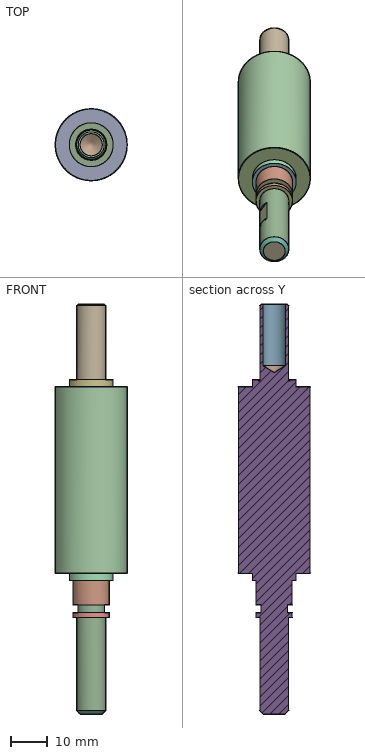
import cadquery as cq
import math

total_length = 112.2
shaft_radius = 8.0 / 2
bottom_chamfer = 1.0
top_chamfer = 0.5

body_radius = 19.7 / 2
body_bottom = 38.5
body_top = 89.6
body_edge_chamfer = 0.1
collar_radius = 12.0 / 2
collar_height = 1.9
collar_bore_radius = 8.5 / 2
collar_recess_depth = 0.3

sleeve_radius = 10.0 / 2
sleeve_bottom = 30.0
groove_radius = 7.3 / 2
flange_top = 27.8
flange_bottom = 26.5

hole_radius = 6.1 / 2
hole_depth = 16.8
drill_point_angle = 118.0

flat_bottom = 11.8
flat_length = 8.3
flat_depth = 0.39


def cylinder(radius, bottom, top):
    return cq.Workplane("XY").workplane(offset=bottom).circle(radius).extrude(top - bottom)


def make_shaft():
    shaft = cylinder(shaft_radius, 0, total_length)
    shaft = shaft.faces("<Z").chamfer(bottom_chamfer)
    shaft = shaft.faces(">Z").chamfer(top_chamfer)
    groove = cylinder(shaft_radius, sleeve_bottom, flange_top).cut(
        cylinder(groove_radius, sleeve_bottom, flange_top)
    )
    return shaft.cut(groove)


def make_roller():
    body = cylinder(body_radius, body_bottom, body_top).edges().chamfer(body_edge_chamfer)
    collar_top = body_top + collar_height
    collars = cylinder(collar_radius, body_bottom - collar_height, collar_top)
    recess = cylinder(collar_bore_radius, collar_top - collar_recess_depth, collar_top)
    return body.union(collars).cut(recess)


def make_drilled_hole():
    cone_height = hole_radius / math.tan(math.radians(drill_point_angle / 2))
    hole_bottom = total_length - hole_depth
    profile = [
        (0, total_length),
        (hole_radius, total_length),
        (hole_radius, hole_bottom),
        (0, hole_bottom - cone_height),
    ]
    return cq.Workplane("XZ").polyline(profile).close().revolve(360, (0, 0), (0, 1))


def make_flat_cutter():
    return (
        cq.Workplane("XY")
        .box(2 * shaft_radius, shaft_radius, flat_length, centered=(True, False, False))
        .translate((0, shaft_radius - flat_depth, flat_bottom))
    )


sleeve = cylinder(sleeve_radius, sleeve_bottom, body_bottom)
flange = cylinder(sleeve_radius, flange_bottom, flange_top)

result = (
    make_roller()
    .union(make_shaft())
    .union(sleeve)
    .union(flange)
    .cut(make_drilled_hole())
    .cut(make_flat_cutter())
)